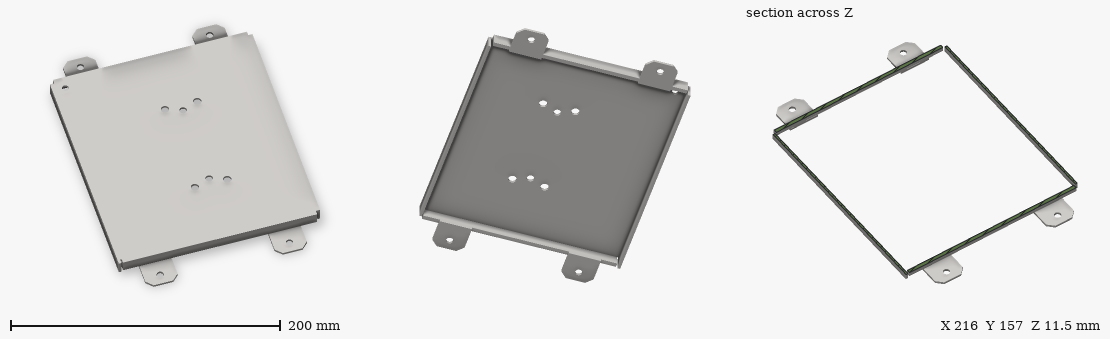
import cadquery as cq

total_length = 216.0
tray_length = 176.0
tray_width = 157.0
total_height = 11.5

sheet = 2.0
corner_notch = 3.2
side_wall_thickness = corner_notch
end_wall_height = 10.8
side_wall_height = total_height - sheet

tab_length = 23.3
tab_width = 25.0
tab_chamfer = 5.0
tab_spacing = 100.2
tab_hole_diameter = 5.5
tab_hole_from_end = 8.0

group_center_y = 8.6
outer_hole_x = 37.5
outer_hole_offset_y = 12.5
outer_hole_diameter = 6.3
inner_hole_x = 32.8
inner_hole_diameter = 5.6
corner_hole_from_side = 10.0
corner_hole_from_front = 10.0
corner_hole_diameter = 5.0

half_length = tray_length / 2
half_width = tray_width / 2
inner_x = half_length - corner_notch
inner_y = half_width - corner_notch


def block(x_min, x_max, y_min, y_max, z_min, z_max):
    """Return a rectangular block between two opposite corners."""
    size = (x_max - x_min, y_max - y_min, z_max - z_min)
    return cq.Workplane("XY").box(*size, centered=False).translate((x_min, y_min, z_min))


def hole_cutters(points, diameter):
    """Return vertical cylinders through the full height of the part."""
    return cq.Workplane("XY").pushPoints(points).circle(diameter / 2).extrude(total_height)


def tray():
    """Return the open-bottomed tray with its folded walls and relieved corners."""
    top_bottom = total_height - sheet
    end_bottom = total_height - end_wall_height
    side_bottom = total_height - side_wall_height

    body = block(-half_length, half_length, -inner_y, inner_y, top_bottom, total_height)
    body = body.union(block(-inner_x, inner_x, -half_width, half_width, top_bottom, total_height))

    for x_min in (-half_length, half_length - side_wall_thickness):
        x_max = x_min + side_wall_thickness
        body = body.union(block(x_min, x_max, -inner_y, inner_y, side_bottom, total_height))

    for y_min, x_max in ((-half_width, half_length), (half_width - sheet, inner_x)):
        body = body.union(block(-inner_x, x_max, y_min, y_min + sheet, end_bottom, total_height))
    return body


def tab(side, y_center):
    """Return one drilled tab; side is -1 for left and 1 for right."""
    x_center = side * (total_length - tab_length) / 2
    outer_edges = "|Z and >X" if side > 0 else "|Z and <X"
    plate = cq.Workplane("XY").box(tab_length, tab_width, sheet, centered=(True, True, False))
    plate = plate.edges(outer_edges).chamfer(tab_chamfer).translate((x_center, y_center, 0))
    hole_x = side * (total_length / 2 - tab_hole_from_end)
    return plate.cut(hole_cutters([(hole_x, y_center)], tab_hole_diameter))


result = tray()
for side in (-1, 1):
    for y_center in (-tab_spacing / 2, tab_spacing / 2):
        result = result.union(tab(side, y_center))

outer_points = [
    (side * outer_hole_x, group_center_y + offset)
    for side in (-1, 1)
    for offset in (-outer_hole_offset_y, outer_hole_offset_y)
]
inner_points = [(side * inner_hole_x, group_center_y) for side in (-1, 1)]
result = result.cut(hole_cutters(outer_points, outer_hole_diameter))
result = result.cut(hole_cutters(inner_points, inner_hole_diameter))

corner_point = (-half_length + corner_hole_from_side, -half_width + corner_hole_from_front)
result = result.cut(hole_cutters([corner_point], corner_hole_diameter))